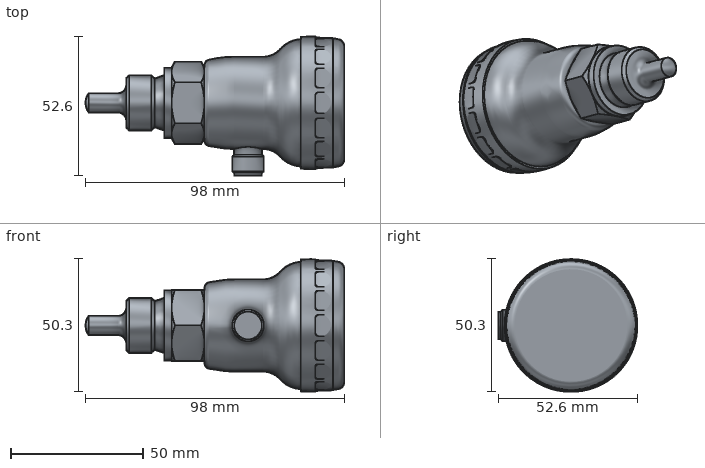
import cadquery as cq
import math


PIN_RADIUS = 3.7
TIP_DOME_HEIGHT = 1.3
ROOT_FILLET = 3.0

STEM_START = 15.4
STEM_RADIUS = 10.48
STEM_CHAMFER = 1.2
STEM_END = 24.9
GROOVE_CHAMFER = 0.6
GROOVE_BOTTOM = 26.3
GROOVE_RADIUS = 9.3
RUNOUT_START = 27.0
RUNOUT_RADIUS = 9.5

COLLAR_START = 29.75
COLLAR_RADIUS = 13.35
HEX_START = 32.65
HEX_END = 45.0
HEX_SIDES = 6
HEX_ACROSS_FLATS = 27.0
HEX_CHAMFER_ANGLE = 30.0

NOSE_FILLET = 2.4
SHOULDER_ARC = 41.0
BARREL_START = 56.25
BARREL_RADIUS = 17.5
BARREL_END = 67.25
FLARE_MIDDLE = 73.75
FLARE_MIDDLE_RADIUS = 20.4
FLARE_END_RADIUS = 24.15

CAP_START = 81.5
CAP_RADIUS = 25.155
CAP_CROWN_CENTRE = 85.6
CAP_CROWN_ARC = 50.0
CAP_GROOVE_START = 93.55
CAP_GROOVE_WIDTH = 0.3
CAP_GROOVE_DEPTH = 0.4
CAP_FILLET = 2.9
OVERALL_LENGTH = 98.0

FLAT_COUNT = 16
FLAT_START = 87.0
FLAT_WIDTH = 8.0
FLAT_DISTANCE = 24.62
FLAT_CORNER = 1.2

CONNECTOR_X = 61.55
CONNECTOR_NECK_RADIUS = 5.35
CONNECTOR_RADIUS = 6.0
CONNECTOR_TIP_RADIUS = 5.25
CONNECTOR_BODY_START = 19.7
CONNECTOR_BODY_END = 26.5
CONNECTOR_CHAMFER = 0.6
CONNECTOR_END = 27.485


def turned(profile):
    """Close a half profile drawn in XY and revolve it about the X axis."""
    return profile.close().revolve(360, (0, 0, 0), (1, 0, 0))


def crown_radius(x):
    """Radius of the crowned cap surface at station x."""
    offset = x - CAP_CROWN_CENTRE
    return CAP_RADIUS - CAP_CROWN_ARC + math.sqrt(CAP_CROWN_ARC**2 - offset**2)


def end_rounding(end_x, inward, arc_centre, arc_radius, fillet):
    """Ends of the fillet joining a flat end face to a large profile arc.

    inward is +1 or -1, the direction along X from the end face into the material.
    Returns the point on the end face and the tangent point on the large arc.
    """
    centre_x, centre_y = arc_centre
    fillet_x = end_x + inward * fillet
    offset = fillet_x - centre_x
    rise = math.sqrt((arc_radius - fillet)**2 - offset**2)
    stretch = arc_radius / (arc_radius - fillet)
    face_point = (end_x, centre_y + rise)
    arc_point = (centre_x + offset * stretch, centre_y + rise * stretch)
    return face_point, arc_point


def make_stem():
    """Probe pin, stem, groove and collar."""
    sphere_radius = (PIN_RADIUS**2 + TIP_DOME_HEIGHT**2) / (2 * TIP_DOME_HEIGHT)
    root_start = STEM_START - ROOT_FILLET
    profile = (
        cq.Workplane("XY")
        .moveTo(0, 0)
        .radiusArc((TIP_DOME_HEIGHT, PIN_RADIUS), sphere_radius)
        .lineTo(root_start, PIN_RADIUS)
        .radiusArc((STEM_START, PIN_RADIUS + ROOT_FILLET), -ROOT_FILLET)
        .lineTo(STEM_START, STEM_RADIUS - STEM_CHAMFER)
        .lineTo(STEM_START + STEM_CHAMFER, STEM_RADIUS)
        .lineTo(STEM_END, STEM_RADIUS)
        .line(GROOVE_CHAMFER, -GROOVE_CHAMFER)
        .tangentArcPoint((GROOVE_BOTTOM, GROOVE_RADIUS), relative=False)
        .lineTo(RUNOUT_START, RUNOUT_RADIUS)
        .lineTo(COLLAR_START, STEM_RADIUS)
        .lineTo(COLLAR_START, COLLAR_RADIUS)
        .lineTo(HEX_START, COLLAR_RADIUS)
        .lineTo(HEX_START, 0)
    )
    return turned(profile)


def make_hexagon():
    """Hexagon with flats facing +Z and -Z, its corners turned off at both ends."""
    flat_radius = HEX_ACROSS_FLATS / 2
    corner_radius = flat_radius / math.cos(math.pi / HEX_SIDES)
    chamfer_length = (corner_radius - flat_radius) * math.tan(math.radians(HEX_CHAMFER_ANGLE))
    prism = (
        cq.Workplane("YZ", origin=(HEX_START, 0, 0))
        .polygon(HEX_SIDES, 2 * corner_radius)
        .extrude(HEX_END - HEX_START)
    )
    envelope = turned(
        cq.Workplane("XY")
        .moveTo(HEX_START, 0)
        .lineTo(HEX_START, flat_radius)
        .lineTo(HEX_START + chamfer_length, corner_radius)
        .lineTo(HEX_END - chamfer_length, corner_radius)
        .lineTo(HEX_END, flat_radius)
        .lineTo(HEX_END, 0)
    )
    return prism.intersect(envelope)


def make_housing():
    """Barrel flaring out to the crowned cap."""
    flare_length = FLARE_MIDDLE - BARREL_END
    flare_rise = FLARE_MIDDLE_RADIUS - BARREL_RADIUS
    flare_arc = (flare_length**2 + flare_rise**2) / (2 * flare_rise)
    shoulder_centre = (BARREL_START, BARREL_RADIUS - SHOULDER_ARC)
    nose_face, nose_end = end_rounding(HEX_END, 1, shoulder_centre, SHOULDER_ARC, NOSE_FILLET)
    crown_centre = (CAP_CROWN_CENTRE, CAP_RADIUS - CAP_CROWN_ARC)
    cap_face, cap_corner = end_rounding(OVERALL_LENGTH, -1, crown_centre, CAP_CROWN_ARC, CAP_FILLET)
    profile = (
        cq.Workplane("XY")
        .moveTo(HEX_END, 0)
        .lineTo(*nose_face)
        .radiusArc(nose_end, NOSE_FILLET)
        .radiusArc((BARREL_START, BARREL_RADIUS), SHOULDER_ARC)
        .lineTo(BARREL_END, BARREL_RADIUS)
        .radiusArc((FLARE_MIDDLE, FLARE_MIDDLE_RADIUS), -flare_arc)
        .tangentArcPoint((CAP_START, FLARE_END_RADIUS), relative=False)
        .lineTo(CAP_START, crown_radius(CAP_START))
        .radiusArc(cap_corner, CAP_CROWN_ARC)
        .radiusArc(cap_face, CAP_FILLET)
        .lineTo(OVERALL_LENGTH, 0)
    )
    return turned(profile)


def make_cap_groove():
    """Ring that cuts the narrow groove around the cap behind the grip flats."""
    floor_radius = crown_radius(CAP_GROOVE_START) - CAP_GROOVE_DEPTH
    return (
        cq.Workplane("YZ", origin=(CAP_GROOVE_START, 0, 0))
        .circle(CAP_RADIUS)
        .circle(floor_radius)
        .extrude(CAP_GROOVE_WIDTH)
    )


def make_flat_cutter():
    """Block that mills one grip flat on the +Z side; it runs out where the crown falls below it."""
    length = CAP_GROOVE_START - FLAT_START
    return (
        cq.Workplane("XY", origin=(FLAT_START, 0, FLAT_DISTANCE))
        .rect(length, FLAT_WIDTH, centered=(False, True))
        .extrude(CAP_RADIUS - FLAT_DISTANCE)
        .edges("<X and |Z")
        .fillet(FLAT_CORNER)
    )


def make_connector():
    """Side connector turned about its own axis, rooted on the housing axis."""
    profile = (
        cq.Workplane("XY", origin=(CONNECTOR_X, 0, 0))
        .lineTo(CONNECTOR_NECK_RADIUS, 0)
        .lineTo(CONNECTOR_NECK_RADIUS, -CONNECTOR_BODY_START)
        .lineTo(CONNECTOR_RADIUS, -CONNECTOR_BODY_START - CONNECTOR_CHAMFER)
        .lineTo(CONNECTOR_RADIUS, -CONNECTOR_BODY_END + CONNECTOR_CHAMFER)
        .lineTo(CONNECTOR_TIP_RADIUS, -CONNECTOR_BODY_END)
        .lineTo(CONNECTOR_TIP_RADIUS, -CONNECTOR_END)
        .lineTo(0, -CONNECTOR_END)
        .close()
    )
    return profile.revolve(360, (0, 0, 0), (0, 1, 0))


result = make_housing().cut(make_cap_groove())
flat_cutter = make_flat_cutter()
for index in range(FLAT_COUNT):
    result = result.cut(flat_cutter.rotate((0, 0, 0), (1, 0, 0), index * 360 / FLAT_COUNT))
result = result.union(make_hexagon()).union(make_stem()).union(make_connector())